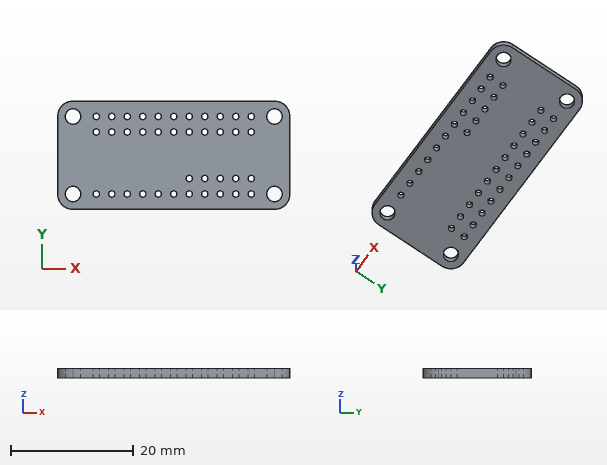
import cadquery as cq

pitch = 2.54
board_thickness = 1.6
mount_hole_diameter = 2.5
pin_hole_diameter = 1.0

length_in_pitches = 15
width_in_pitches = 7
board_length = length_in_pitches * pitch
board_width = width_in_pitches * pitch
corner_radius = pitch
edge_inset = pitch

full_row_count = 11
short_row_count = 5
mount_span_x = board_length - 2 * edge_inset
mount_span_y = board_width - 2 * edge_inset
outer_row_y = mount_span_y / 2
inner_row_y = outer_row_y - pitch
last_pin_x = (full_row_count - 1) * pitch / 2


def pin_row(count, y):
    """Pin centres along X, one pitch apart, ending at the common last pin."""
    return [(last_pin_x - i * pitch, y) for i in range(count)]


def make_board():
    """Flat board centred on the origin in X and Y, with rounded corners."""
    board = cq.Workplane("XY").rect(board_length, board_width).extrude(board_thickness)
    return board.edges("|Z").fillet(corner_radius)


def drill_mounting_holes(board):
    """Through hole concentric with each rounded corner."""
    corners = board.faces(">Z").workplane().rect(mount_span_x, mount_span_y, forConstruction=True)
    return corners.vertices().hole(mount_hole_diameter)


def drill_pin_holes(board):
    """Three full rows of pin holes and one short row at the +X end."""
    centres = (
        pin_row(full_row_count, outer_row_y)
        + pin_row(full_row_count, inner_row_y)
        + pin_row(short_row_count, -inner_row_y)
        + pin_row(full_row_count, -outer_row_y)
    )
    return board.faces(">Z").workplane().pushPoints(centres).hole(pin_hole_diameter)


result = drill_pin_holes(drill_mounting_holes(make_board()))